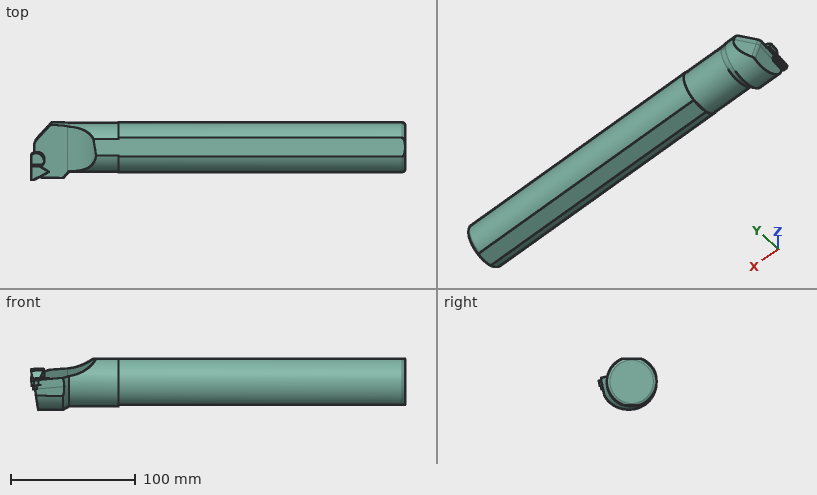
import cadquery as cq
import math

length = 300.0
shank_radius = 20.0
flat_height = 18.5
shank_start = 70.0
end_round = 2.7

beyond = 120.0

neck_radius = 19.8
neck_start = 30.3
head_radius = 22.5
head_offset = shank_radius - head_radius
head_cylinder_end = 25.5

tip_y = -26.5
tip_z = 0.5
roll = 10.0
pitch = 5.0

face_setback = 2.5
side_setback = 2.0
corner_y = 31.0
corner_angle = 48.0
corner_round = 5.0
seat_depth = 7.2
relief_angle = 2.5

scoop_start = 29.0
scoop_radius = 34.5

insert_side = 16.5
insert_thickness = 4.2
tip_truncation = 1.2
shim_inset = 1.0
clamp_x = 4.5
clamp_y = 16.8
clamp_radius = 6.3
clamp_height = 5.7
clamp_face_x = 0.5
clamp_facet_y = 13.8
clamp_facet_run = 2.7


def cylinder_x(radius, start, end, center_y=0.0):
    """Cylinder along X between two stations."""
    profile = cq.Workplane("YZ", origin=(start, center_y, 0)).circle(radius)
    return profile.extrude(end - start)


def place(shape):
    """Move a shape from the tool frame into the bar frame."""
    pitched = shape.rotate((0, 0, 0), (0, 1, 0), -pitch)
    rolled = pitched.rotate((0, 0, 0), (1, 0, 0), roll)
    return rolled.translate((0, tip_y, tip_z))


def make_shank():
    shank = cylinder_x(shank_radius, shank_start, length).faces(">X").edges().fillet(end_round)
    flats = cq.Workplane("XY").box(2 * length, beyond, 2 * flat_height)
    return shank.intersect(flats)


def make_neck():
    neck = cylinder_x(neck_radius, neck_start, shank_start)
    above_flat = cq.Workplane("XY", origin=(0, 0, flat_height)).rect(2 * length, beyond).extrude(beyond)
    return neck.cut(above_flat)


def head_outline(level):
    """Plan outline of the head: front face, cut corner and flat side."""
    corner_run = beyond / math.tan(math.radians(corner_angle))
    return cq.Workplane("XY", origin=(0, 0, level)).polyline([
        (face_setback, side_setback),
        (beyond, side_setback),
        (beyond, corner_y + beyond),
        (face_setback + corner_run, corner_y + beyond),
        (face_setback, corner_y),
    ]).close()


def round_corner(block):
    """Round the upright edge between the front face and the cut corner."""
    corner = cq.selectors.NearestToPointSelector((face_setback, corner_y, -seat_depth / 2))
    return block.edges("|Z").edges(corner).fillet(corner_round)


def make_head():
    head = cylinder_x(head_radius, -head_radius, head_cylinder_end, head_offset)
    blend = (
        cq.Workplane("YZ", origin=(head_cylinder_end, head_offset, 0)).circle(head_radius)
        .workplane(offset=neck_start - head_cylinder_end).center(-head_offset, 0).circle(neck_radius)
        .loft(ruled=True)
    )
    head = head.union(blend)
    upper = round_corner(head_outline(-seat_depth).extrude(seat_depth + beyond / 2))
    relief = (
        upper.faces("<Z").wires().toPending().workplane()
        .extrude(beyond / 2, combine=False, taper=relief_angle)
    )
    return head.intersect(place(upper.union(relief)))


def make_scoop():
    """Material above the rake face and its concave run-out."""
    arc_end = (scoop_start + scoop_radius, scoop_radius)
    arc_mid = (
        scoop_start + scoop_radius * math.sin(math.pi / 4),
        scoop_radius * (1 - math.cos(math.pi / 4)),
    )
    profile = (
        cq.Workplane("XZ").moveTo(-beyond, 0).lineTo(scoop_start, 0)
        .threePointArc(arc_mid, arc_end).lineTo(-beyond, scoop_radius).close()
    )
    return place(profile.extrude(beyond, both=True))


def triangle(top, thickness, inset=0.0):
    """Triangular plate with a blunted cutting tip."""
    apex_x = insert_side * math.sin(math.pi / 3)
    blunt_x = tip_truncation * math.tan(math.pi / 3)
    outline = cq.Workplane("XY", origin=(0, 0, top)).polyline([
        (0, 0),
        (blunt_x, 0),
        (apex_x, insert_side / 2 - tip_truncation),
        (0, insert_side - tip_truncation),
    ]).close()
    if inset:
        outline = outline.offset2D(-inset)
    return outline.extrude(-thickness)


def make_clamp():
    """Round clamping head with a flat front and a sloping facet facing the cutting tip."""
    clamp = cq.Workplane("XY").center(clamp_x, clamp_y).circle(clamp_radius).extrude(clamp_height)
    facet = cq.Workplane("YZ").polyline([
        (clamp_facet_y, clamp_height),
        (clamp_facet_y - clamp_facet_run, 0),
        (clamp_facet_y - beyond, 0),
        (clamp_facet_y - beyond, clamp_height),
    ]).close().extrude(beyond, both=True)
    ahead_of_front = cq.Workplane("YZ", origin=(clamp_face_x, 0, 0)).rect(beyond, beyond).extrude(-beyond)
    return place(clamp.cut(facet).cut(ahead_of_front))


insert = place(triangle(0, insert_thickness))
shim = place(triangle(-insert_thickness, seat_depth - insert_thickness, shim_inset))

holder = make_shank().union(make_neck()).union(make_head())
holder = holder.cut(make_scoop()).union(shim).union(make_clamp()).cut(insert)

result = cq.Compound.makeCompound([holder.val(), insert.val()])